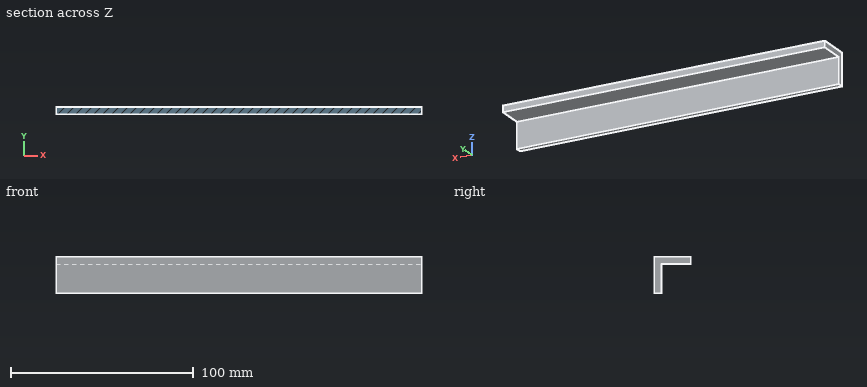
import cadquery as cq

length = 200.0
leg = 20.0
thickness = 4.0

section = [
    (0, 0),
    (leg, 0),
    (leg, -thickness),
    (thickness, -thickness),
    (thickness, -leg),
    (0, -leg),
]

result = cq.Workplane("YZ").polyline(section).close().extrude(length)